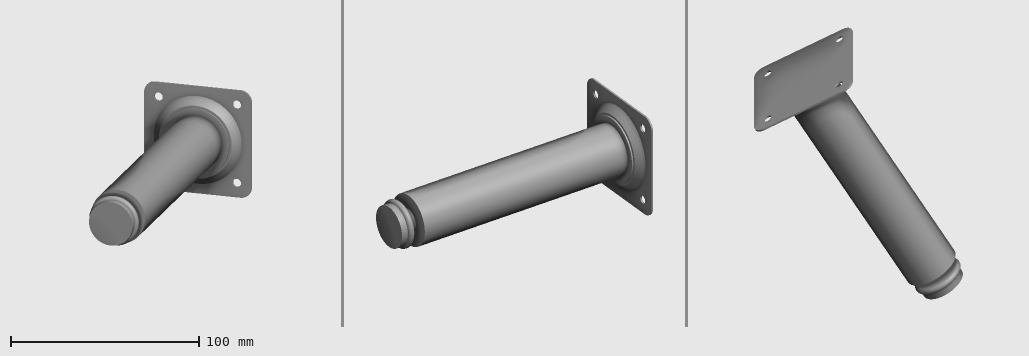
import cadquery as cq

total_length = 150.0
back_y = total_length / 2
end_y = -total_length / 2

plate_size = 60.0
plate_thickness = 1.0
corner_radius = 6.0
hole_diameter = 4.6
hole_spacing = 43.8

collar_base_radius = 24.6
collar_top_radius = 20.4
collar_cone_depth = 5.1
collar_lip_radius = 19.0
collar_depth = 6.0

tube_radius = 15.0
tube_end_height = 12.8
neck_radius = 6.8
pad_radius = 12.2
pad_height = 3.9
bead_radius = 13.8
bead_height = 5.8
shoulder_radius = 12.5
shoulder_height = 7.6
foot_height = 8.2


def make_plate():
    """Square plate with rounded corners and four screw holes."""
    return (
        cq.Workplane("XZ", origin=(0, back_y, 0))
        .rect(plate_size, plate_size)
        .extrude(plate_thickness)
        .edges("|Y")
        .fillet(corner_radius)
        .faces("<Y")
        .workplane(centerOption="CenterOfBoundBox")
        .rect(hole_spacing, hole_spacing, forConstruction=True)
        .vertices()
        .hole(hole_diameter)
    )


def make_leg():
    """Revolved collar, tube, neck and beaded foot."""
    profile = (
        cq.Workplane("XY")
        .moveTo(0, back_y)
        .lineTo(collar_base_radius, back_y)
        .lineTo(collar_base_radius, back_y - plate_thickness)
        .lineTo(collar_top_radius, back_y - collar_cone_depth)
        .lineTo(collar_lip_radius, back_y - collar_cone_depth)
        .lineTo(collar_lip_radius, back_y - collar_depth)
        .lineTo(tube_radius, back_y - collar_depth)
        .lineTo(tube_radius, end_y + tube_end_height)
        .lineTo(neck_radius, end_y + tube_end_height)
        .lineTo(neck_radius, end_y + foot_height)
        .lineTo(shoulder_radius, end_y + shoulder_height)
        .threePointArc((bead_radius, end_y + bead_height), (pad_radius, end_y + pad_height))
        .lineTo(pad_radius, end_y)
        .lineTo(0, end_y)
        .close()
    )
    return profile.revolve(360, (0, 0, 0), (0, 1, 0))


result = make_plate().union(make_leg())